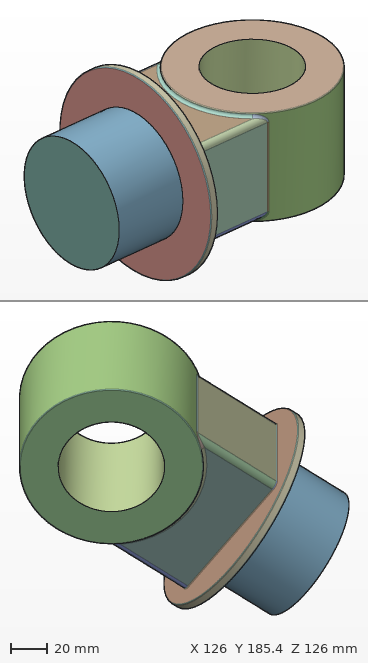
import cadquery as cq
import math

RING_DIAMETER = 102.0
RING_HEIGHT = 70.0
BORE_DIAMETER = 59.0

SHAFT_DIAMETER = 79.0
SHAFT_END_DISTANCE = 134.35
FLANGE_DIAMETER = 126.0
FLANGE_THICKNESS = 5.0
FLANGE_BACK_DISTANCE = 82.0

NECK_CORNER_RADIUS = 3.75
NECK_WIDTH = SHAFT_DIAMETER + 2 * NECK_CORNER_RADIUS
NECK_HEIGHT = 65.0

RIM_RADIUS = 0.5
RING_BLEND_RADIUS = 1.9
FLANGE_BLEND_RADIUS = 0.4

SELECTION_MARGIN = 0.01

FLANGE_FRONT_DISTANCE = FLANGE_BACK_DISTANCE + FLANGE_THICKNESS
SHAFT_LENGTH = SHAFT_END_DISTANCE - FLANGE_FRONT_DISTANCE


def cylinder_along_minus_y(diameter, start_distance, length):
    """Cylinder running toward -Y from the given distance to the ring axis."""
    plane = cq.Workplane("XZ", origin=(0, -start_distance, 0))
    return plane.circle(diameter / 2).extrude(length)


def make_ring():
    """Outer ring cylinder with rounded rims, still without its bore."""
    ring = cq.Workplane("XY").circle(RING_DIAMETER / 2).extrude(RING_HEIGHT / 2, both=True)
    return ring.edges("%CIRCLE").fillet(RIM_RADIUS)


def make_neck():
    """Block from the ring axis to the flange, with its long edges rounded."""
    block = cq.Workplane("XZ").rect(NECK_WIDTH, NECK_HEIGHT).extrude(FLANGE_BACK_DISTANCE)
    return block.edges("|Y").fillet(NECK_CORNER_RADIUS)


def make_flange():
    """Flange disc with rounded rims."""
    disc = cylinder_along_minus_y(FLANGE_DIAMETER, FLANGE_BACK_DISTANCE, FLANGE_THICKNESS)
    return disc.edges("%CIRCLE").fillet(RIM_RADIUS)


def fillet_neck_seam(body, near_distance, far_distance, radius):
    """Fillet the neck edges lying between two distances from the ring axis."""
    half_width = NECK_WIDTH / 2 + SELECTION_MARGIN
    half_height = NECK_HEIGHT / 2 + SELECTION_MARGIN
    seam_zone = cq.selectors.BoxSelector(
        (-half_width, -far_distance - SELECTION_MARGIN, -half_height),
        (half_width, -near_distance + SELECTION_MARGIN, half_height),
        boundingbox=True,
    )
    return body.edges(seam_zone).fillet(radius)


def blend_neck_to_ring(body):
    """Fillet the closed seam where the neck runs into the ring."""
    ring_radius = RING_DIAMETER / 2
    side_distance = math.sqrt(ring_radius**2 - (NECK_WIDTH / 2) ** 2)
    return fillet_neck_seam(body, side_distance, ring_radius, RING_BLEND_RADIUS)


def blend_neck_to_flange(body):
    """Fillet the rounded rectangle where the neck meets the flange."""
    return fillet_neck_seam(body, FLANGE_BACK_DISTANCE, FLANGE_BACK_DISTANCE, FLANGE_BLEND_RADIUS)


body = make_ring().union(make_neck())
body = blend_neck_to_ring(body)
body = body.union(make_flange())
body = blend_neck_to_flange(body)
shaft = cylinder_along_minus_y(SHAFT_DIAMETER, FLANGE_FRONT_DISTANCE, SHAFT_LENGTH)
bore = cq.Workplane("XY").circle(BORE_DIAMETER / 2).extrude(RING_HEIGHT, both=True)
result = body.union(shaft).cut(bore)